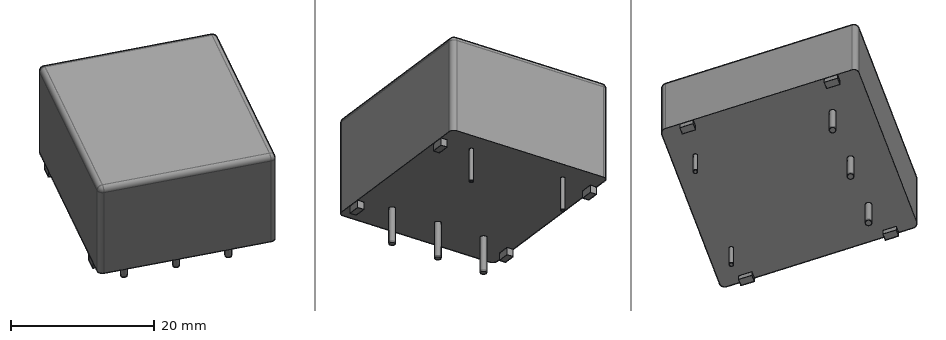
import cadquery as cq

case_length = 29.2
case_width = 26.0
overall_height = 20.9
thick_pin_length = 5.66
case_height = overall_height - thick_pin_length
edge_radius = 0.8

foot_length = 2.0
foot_width = 1.02
foot_height = 1.17
foot_x = 10.7
foot_inset = 0.03
foot_y = (case_width - foot_width) / 2 - foot_inset

pin_pitch = 7.62
thick_pin_diameter = 1.0
thick_pin_x = 9.08
thick_tip_height = 0.2
thick_tip_inset = 0.05
thin_pin_diameter = 0.65
thin_pin_length = 5.17
thin_pin_x = -11.25
thin_tip_height = 0.1
thin_tip_inset = 0.05


def make_case():
    """Block with rounded vertical and top edges and a sharp lower rim."""
    block = cq.Workplane("XY").box(
        case_length, case_width, case_height, centered=(True, True, False)
    )
    return block.edges("|Z or >Z").fillet(edge_radius)


def make_foot(x, y):
    """Rectangular standoff hanging below the case."""
    return (
        cq.Workplane("XY")
        .center(x, y)
        .rect(foot_length, foot_width)
        .extrude(-foot_height)
    )


def make_pin(x, y, diameter, length, tip_height, tip_inset):
    """Round pin hanging below the case, with a tapered tip."""
    radius = diameter / 2
    half_profile = (
        cq.Workplane("XZ")
        .moveTo(0, 0)
        .lineTo(radius, 0)
        .lineTo(radius, tip_height - length)
        .lineTo(radius - tip_inset, -length)
        .lineTo(0, -length)
        .close()
    )
    return half_profile.revolve(360, (0, 0), (0, 1)).translate((x, y, 0))


result = make_case()

for side_x in (-1, 1):
    for side_y in (-1, 1):
        result = result.union(make_foot(side_x * foot_x, side_y * foot_y))

for row in (-1, 0, 1):
    result = result.union(
        make_pin(
            thick_pin_x, row * pin_pitch, thick_pin_diameter,
            thick_pin_length, thick_tip_height, thick_tip_inset,
        )
    )

for row in (-1, 1):
    result = result.union(
        make_pin(
            thin_pin_x, row * pin_pitch, thin_pin_diameter,
            thin_pin_length, thin_tip_height, thin_tip_inset,
        )
    )